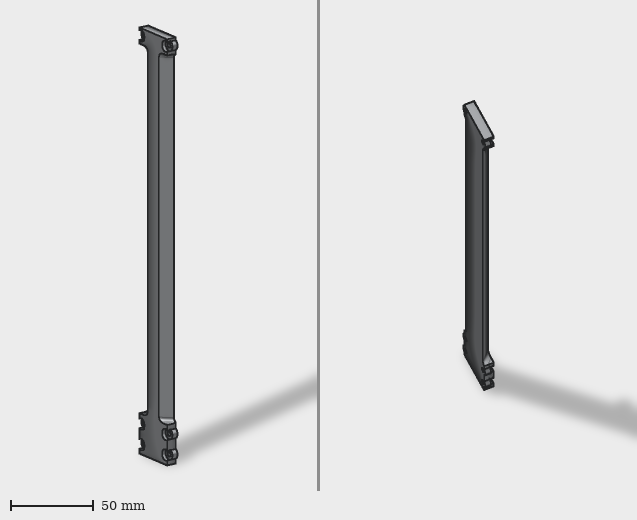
import cadquery as cq

length = 271.0
thickness = 6.5
plate_width = 28.5
overall_width = 32.0

front_face_width = 11.7
flank_bottom = 25.8
flank_top = length - 10.3
flank_end_radius = 3.0

lug_diameter = 7.0
lug_thickness = 3.8
lug_front = thickness - lug_thickness
recess_diameter = lug_diameter
hole_diameter = 3.0
screw_x = (overall_width - lug_diameter) / 2
screw_heights = [6.2, 19.2, length - 5.0]

overcut = 2.7


def make_flank_cutter():
    """Prism that leaves a 45 degree flank on the +X side, rounded where it meets the plate ends."""
    inner_x = front_face_width / 2
    outer_reach = plate_width
    cutter = (
        cq.Workplane("XY", origin=(0, 0, flank_bottom))
        .moveTo(inner_x - overcut, -overcut)
        .lineTo(inner_x + outer_reach, outer_reach)
        .lineTo(inner_x + outer_reach, -overcut)
        .close()
        .extrude(flank_top - flank_bottom)
    )
    flank_end_edges = cq.selectors.ParallelDirSelector(cq.Vector(1, 1, 0))
    return cutter.edges(flank_end_edges).fillet(flank_end_radius)


def cylinder_along_y(x, z, diameter, y_start, y_end):
    """Cylinder parallel to Y, from y_start to y_end."""
    return (
        cq.Workplane("XZ", origin=(x, y_start, z))
        .circle(diameter / 2)
        .extrude(y_start - y_end)
    )


def add_screw_lug(body, x, z):
    """Add a thin lug at the back, then cut the head recess in front of it and the screw hole."""
    lug = cylinder_along_y(x, z, lug_diameter, lug_front, thickness)
    recess = cylinder_along_y(x, z, recess_diameter, -overcut, lug_front)
    hole = cylinder_along_y(x, z, hole_diameter, -overcut, thickness + overcut)
    return body.union(lug).cut(recess).cut(hole)


plate = cq.Workplane("XY").box(plate_width, thickness, length, centered=(True, False, False))

flank_cutter = make_flank_cutter()
result = plate.cut(flank_cutter).cut(flank_cutter.mirror("YZ"))

for side in (-1, 1):
    for height in screw_heights:
        result = add_screw_lug(result, side * screw_x, height)